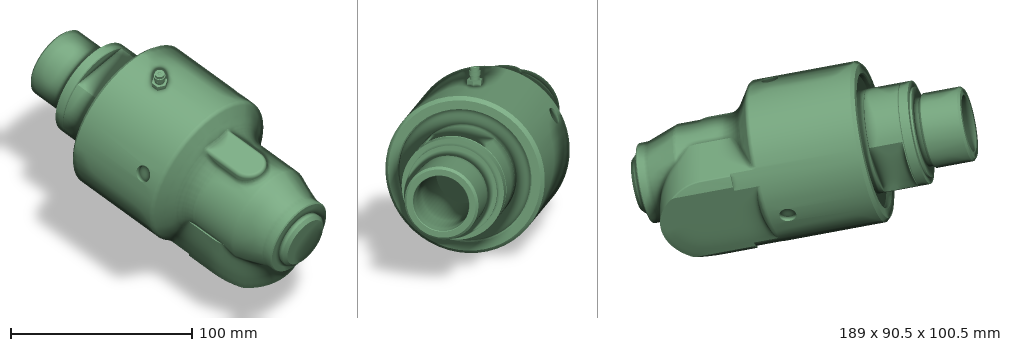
import cadquery as cq
import math

bore_diameter = 31.8
bore_chamfer = 0.3
bore_depth = 54.0
thread_diameter = 41.91
thread_end_x = 23.7
thread_front_chamfer = 1.3
neck_diameter = 38.95
seat_x = 26.2
seat_diameter = 50.8
flange_x = 27.4
flange_diameter = 58.0
wrench_x = 33.4
wrench_end_x = 52.6
wrench_across_flats = 46.0
wrench_front_groove_width = 0.8
wrench_rear_groove_width = 0.4
wrench_groove_depth = 0.4

drum_x = 54.0
drum_diameter = 90.5
drum_chamfer = 2.0
recess_diameter = 75.08
recess_depth = 3.0
recess_chamfer = 0.7
shoulder_x = 113.4
shoulder_angle = 56.0
shoulder_round = 3.4
shoulder_blend = 12.5
barrel_diameter = 58.0
taper_x = 160.6
taper_angle = 20.0
taper_round = 5.0
collar_diameter = 45.0
collar_end_x = 184.3
collar_chamfer = 0.6
plug_diameter = 32.6
plug_chamfer = 1.9
overall_length = 189.0

set_hole_x = 103.3
set_hole_diameter = 9.5
set_hole_depth = 3.4
set_hole_angles = (30.0, 150.0, 270.0)

round_end_x = 146.1
pad_start_x = 118.0
pad_half_width = 10.0
pad_top_z = 33.6
pad_edge_round = 2.0
pad_base_blend = 2.0
boss_half_width = 29.1
boss_top_z = -6.7
boss_bottom_z = -40.1
boss_start_x = 110.0
boss_relief_x = 128.3
boss_envelope_radius = 46.6
boss_edge_round = 1.0
boss_blend = 2.2

nipple_x = 78.9
nipple_root_z = 43.0
nipple_across_flats = 7.75
nipple_hex_top_z = 48.1
nipple_stem_diameter = 5.3
nipple_waist_diameter = 4.4
nipple_rib_diameter = 6.4
nipple_waist_z = 50.0
nipple_rib_z = 50.8
nipple_rib_top_z = 53.0
nipple_top_z = 54.8
nipple_ball_diameter = 3.0
nipple_tip_z = 55.24

drum_radius = drum_diameter / 2
barrel_radius = barrel_diameter / 2
collar_radius = collar_diameter / 2
margin = 0.1


def x_cylinder(diameter, start_x, end_x):
    """Cylinder about the X axis between two X positions."""
    return cq.Workplane("YZ", origin=(start_x, 0, 0)).circle(diameter / 2).extrude(end_x - start_x)


def chamfered_bore(diameter, chamfer, mouth_x, depth):
    """Cutter for a blind bore along +X with a 45 degree chamfer at its mouth."""
    mouth = (
        cq.Workplane("YZ", origin=(mouth_x, 0, 0))
        .circle(diameter / 2 + chamfer)
        .extrude(chamfer, taper=45)
    )
    return x_cylinder(diameter, mouth_x, mouth_x + depth).union(mouth)


def bend_points(corner_x, corner_radius, radius, angle_in, angle_out):
    """Start, middle and end of the arc rounding a profile corner; angles are descents in degrees."""
    a_in, a_out = math.radians(angle_in), math.radians(angle_out)
    half_turn = (a_out - a_in) / 2
    tangent = radius * math.tan(abs(half_turn))
    start = (corner_x - tangent * math.cos(a_in), corner_radius + tangent * math.sin(a_in))
    end = (corner_x + tangent * math.cos(a_out), corner_radius - tangent * math.sin(a_out))
    mean = (a_in + a_out) / 2
    sag = radius * (1 / math.cos(half_turn) - 1)
    side = -1 if angle_out > angle_in else 1
    middle = (corner_x + side * sag * math.sin(mean), corner_radius + side * sag * math.cos(mean))
    return start, middle, end


def make_housing():
    """Drum, conical shoulder, barrel, tapered rear end and plug, turned about X."""
    shoulder_corner_x = shoulder_x + shoulder_round * math.tan(math.radians(shoulder_angle / 2))
    shoulder_run = (drum_radius - barrel_radius) / math.tan(math.radians(shoulder_angle))
    taper_run = (barrel_radius - collar_radius) / math.tan(math.radians(taper_angle))
    bends = (
        bend_points(shoulder_corner_x, drum_radius, shoulder_round, 0, shoulder_angle),
        bend_points(shoulder_corner_x + shoulder_run, barrel_radius, shoulder_blend, shoulder_angle, 0),
        bend_points(taper_x, barrel_radius, taper_round, 0, taper_angle),
        bend_points(taper_x + taper_run, collar_radius, taper_round, taper_angle, 0),
    )
    profile = cq.Workplane("XY").moveTo(drum_x, 0)
    profile = profile.lineTo(drum_x, drum_radius - drum_chamfer)
    profile = profile.lineTo(drum_x + drum_chamfer, drum_radius)
    for start, middle, end in bends:
        profile = profile.lineTo(*start).threePointArc(middle, end)
    profile = (
        profile.lineTo(collar_end_x - collar_chamfer, collar_radius)
        .lineTo(collar_end_x, collar_radius - collar_chamfer)
        .lineTo(collar_end_x, plug_diameter / 2)
        .lineTo(overall_length - plug_chamfer, plug_diameter / 2)
        .lineTo(overall_length, plug_diameter / 2 - plug_chamfer)
        .lineTo(overall_length, 0)
        .close()
    )
    return profile.revolve(360, (0, 0, 0), (1, 0, 0))


def round_ended_block(start_x, half_width, low_z, high_z):
    """Block along X whose +X end is a half round about the common centre."""
    return (
        cq.Workplane("XY", origin=(0, 0, low_z))
        .moveTo(start_x, -half_width)
        .lineTo(round_end_x, -half_width)
        .threePointArc((round_end_x + half_width, 0), (round_end_x, half_width))
        .lineTo(start_x, half_width)
        .close()
        .extrude(high_z - low_z)
    )


def make_pad():
    """Flat pad with a rounded top edge."""
    pad = round_ended_block(pad_start_x, pad_half_width, 0, pad_top_z)
    return pad.faces(">Z").edges("not <X").fillet(pad_edge_round)


def edges_in_box(part, x_range, y_range, z_range):
    """Edges of the part whose centres lie inside a box."""
    low, high = zip(x_range, y_range, z_range)
    return part.edges(cq.selectors.BoxSelector(low, high))


def blend_pad(part):
    """Fillet where the pad meets the barrel and the shoulder."""
    front = edges_in_box(
        part,
        (shoulder_x, round_end_x - pad_half_width - pad_edge_round),
        (margin - pad_half_width, pad_half_width - margin),
        (pad_top_z - margin, pad_top_z + margin),
    )
    return front.fillet(pad_base_blend)


def make_boss():
    """Port boss below the barrel, relieved to the drum diameter next to the drum."""
    front = round_ended_block(boss_start_x, boss_half_width, boss_bottom_z, boss_top_z)
    front = front.intersect(x_cylinder(drum_diameter, boss_start_x, boss_relief_x))
    rear = round_ended_block(boss_relief_x, boss_half_width, boss_bottom_z, boss_top_z)
    rear = rear.intersect(x_cylinder(2 * boss_envelope_radius, boss_relief_x, overall_length))
    side_edge_z = -math.sqrt(boss_envelope_radius**2 - boss_half_width**2)
    lower_edges = edges_in_box(
        rear,
        (boss_relief_x + margin, round_end_x + boss_half_width),
        (-boss_half_width - margin, boss_half_width + margin),
        (boss_bottom_z + margin, side_edge_z + margin),
    )
    return front.union(lower_edges.fillet(boss_edge_round))


def blend_boss(part):
    """Fillets where the boss meets the shoulder on both sides and the tapered rear end."""
    side_z = -math.sqrt(drum_radius**2 - boss_half_width**2)
    front_x = (shoulder_x - margin, boss_relief_x)
    front_z = (side_z + margin, boss_top_z - margin)
    for side in (-boss_half_width, boss_half_width):
        part = edges_in_box(part, front_x, (side - margin, side + margin), front_z).fillet(boss_blend)
    rear = edges_in_box(
        part,
        (round_end_x + margin, overall_length),
        (margin - boss_half_width, boss_half_width - margin),
        (-collar_radius - boss_blend, boss_top_z - margin),
    )
    return rear.fillet(boss_blend)


def v_groove(middle_x, width):
    """Ring cutter for a V groove in the flange diameter."""
    outer_radius = flange_diameter / 2
    return (
        cq.Workplane("XY")
        .moveTo(middle_x - width / 2, outer_radius)
        .lineTo(middle_x, outer_radius - wrench_groove_depth)
        .lineTo(middle_x + width / 2, outer_radius)
        .close()
        .revolve(360, (0, 0, 0), (1, 0, 0))
    )


def make_rotor():
    """Threaded tube with undercut, seat, flange and a round section carrying two flats."""
    runout = (thread_diameter - neck_diameter) / 2
    thread = (
        x_cylinder(thread_diameter, 0, thread_end_x)
        .faces("<X")
        .chamfer(thread_front_chamfer)
        .faces(">X")
        .chamfer(runout)
    )
    flats = x_cylinder(flange_diameter, wrench_x, wrench_end_x).intersect(
        cq.Workplane("XY").box(2 * overall_length, flange_diameter, wrench_across_flats)
    )
    rotor = (
        thread.union(x_cylinder(neck_diameter, thread_end_x, seat_x))
        .union(x_cylinder(seat_diameter, seat_x, flange_x))
        .union(x_cylinder(flange_diameter, flange_x, wrench_x))
        .union(flats)
        .union(x_cylinder(flange_diameter, wrench_end_x, drum_x + recess_depth))
    )
    rotor = rotor.cut(v_groove(wrench_x - wrench_front_groove_width / 2, wrench_front_groove_width))
    return rotor.cut(v_groove(wrench_end_x - wrench_rear_groove_width / 2, wrench_rear_groove_width))


def make_nipple():
    """Grease nipple: hexagon, grooved stem with a rib, and a ball in the tip."""
    hexagon = (
        cq.Workplane("XY", origin=(nipple_x, 0, nipple_root_z))
        .polygon(6, nipple_across_flats / math.cos(math.radians(30)))
        .extrude(nipple_hex_top_z - nipple_root_z)
    )
    stem_radius = nipple_stem_diameter / 2
    waist_radius = nipple_waist_diameter / 2
    rib_radius = nipple_rib_diameter / 2
    stem = (
        cq.Workplane("XZ", origin=(nipple_x, 0, 0))
        .moveTo(0, nipple_root_z)
        .lineTo(stem_radius, nipple_root_z)
        .lineTo(stem_radius, nipple_waist_z)
        .lineTo(waist_radius, nipple_waist_z)
        .lineTo(waist_radius, nipple_rib_z)
        .lineTo(rib_radius, nipple_rib_z)
        .lineTo(rib_radius, nipple_rib_top_z)
        .lineTo(stem_radius, nipple_rib_top_z)
        .lineTo(stem_radius, nipple_top_z)
        .lineTo(0, nipple_top_z)
        .close()
        .revolve(360, (0, 0, 0), (0, 1, 0))
    )
    ball_z = nipple_tip_z - nipple_ball_diameter / 2
    ball = cq.Workplane("XY", origin=(nipple_x, 0, ball_z)).sphere(nipple_ball_diameter / 2)
    return hexagon.union(stem).union(ball)


def set_hole(angle):
    """Blind radial hole cutter at an angle about X measured from +Y towards +Z."""
    cutter = (
        cq.Workplane("XZ", origin=(set_hole_x, drum_radius - set_hole_depth, 0))
        .circle(set_hole_diameter / 2)
        .extrude(-2 * set_hole_depth)
    )
    return cutter.rotate((0, 0, 0), (1, 0, 0), angle)


housing = blend_boss(blend_pad(make_housing().union(make_pad())).union(make_boss()))

housing = housing.cut(chamfered_bore(recess_diameter, recess_chamfer, drum_x, recess_depth))
for hole_angle in set_hole_angles:
    housing = housing.cut(set_hole(hole_angle))

body = housing.union(make_rotor())
body = body.cut(chamfered_bore(bore_diameter, bore_chamfer, 0, bore_depth))

result = body.union(make_nipple())